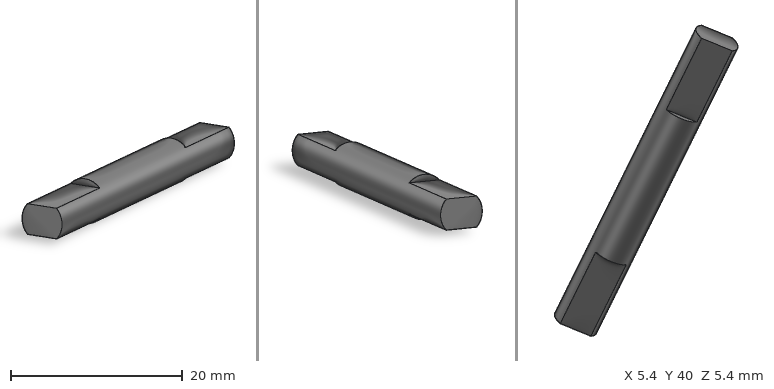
import cadquery as cq

length = 40.0
diameter = 5.4
flat_length = length / 4
flat_thickness = 3.7


def flatted_end(y_center):
    """Slab that trims one shaft end to parallel top and bottom flats."""
    return cq.Workplane("XY").box(diameter, flat_length, flat_thickness).translate((0, y_center, 0))


shaft = cq.Workplane("XZ").circle(diameter / 2).extrude(length / 2, both=True)

middle_length = length - 2 * flat_length
end_center = (length - flat_length) / 2
envelope = cq.Workplane("XY").box(diameter, middle_length, diameter)
for side in (-1, 1):
    envelope = envelope.union(flatted_end(side * end_center))

result = shaft.intersect(envelope)